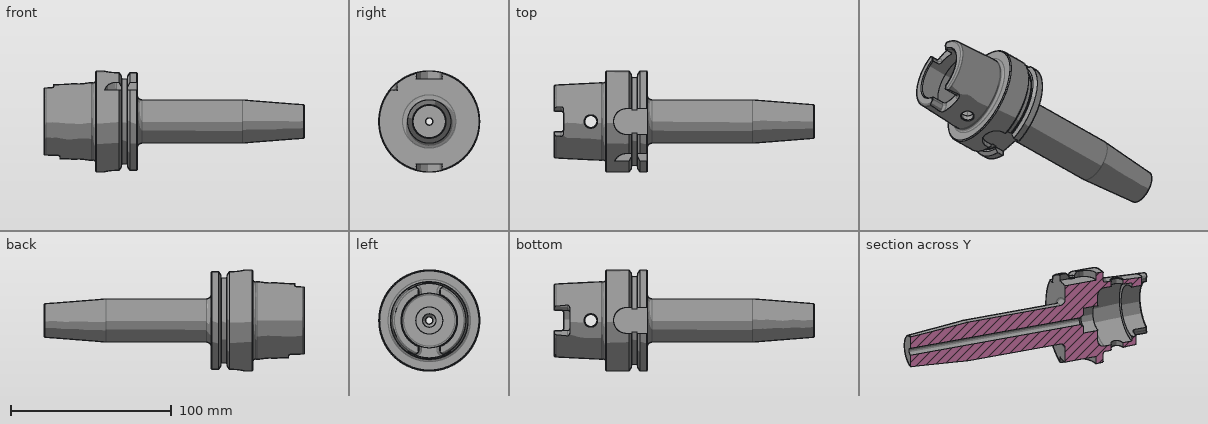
import cadquery as cq
import math


total_length = 162.0
taper_end = 29.6
flange_front = 32.0
flange_back = 58.0
tip_taper_start = 123.6

taper_large_radius = 48.5 / 2
taper_slope = 1 / 20
taper_edge_radius = 1.1
relief_radius = 48.1 / 2
relief_start = 30.5
relief_fillet = flange_front - relief_start

flange_radius = 63.0 / 2
flange_front_chamfer = 0.6
flange_back_chamfer = 0.5
groove_center = 50.0
groove_floor_radius = 27.5
groove_floor_bevel = 0.3
groove_neck_radius = 29.2
groove_floor_width = 3.5
groove_rim_width = 6.8

shank_radius = 27.0 / 2
shank_fillet = 3.0
tip_radius = 10.5
tip_chamfer = 0.5

mouth_radius = 17.7
mouth_chamfer = 0.6
bore_radius = 34 / 2
undercut_start = 13.0
undercut_radius = 40.0 / 2
undercut_end = 35.6
undercut_fillet = 4.0
coolant_bore_radius = 16.8 / 2
coolant_bore_end = 45.4
cone_large_radius = 8.5 / 2
through_radius = 4.4 / 2
cone_depth = cone_large_radius - through_radius

slot_half_width = 6.3
slot_depths = {1: 6.0, -1: 9.9}
slot_flare_radius = 3.2
slot_flare_start = 17.8
slot_floor_fillet = 1.6
slot_mouth_chamfer = 0.57

cross_hole_radius = 7.5 / 2
cross_hole_x = 22.8
cross_hole_chamfer = 0.5

cutter_radius = 16.0 / 2
cutter_center_x = 45.0
keyway_floor = 26.5
notch_floor = 19.6
notch_wall = 20.0

clearance = 8.1

round_mid = 1 - math.sqrt(0.5)


def turn_about_x(profile):
    return profile.revolve(360, (0, 0, 0), (1, 0, 0))


def to_side(shape, side):
    """Keep a +Z shape for side = 1, or turn it round to -Z for side = -1."""
    if side > 0:
        return shape
    return shape.rotate((0, 0, 0), (1, 0, 0), 180)


def turned_body():
    """Solid outside shape: taper, relief, grooved flange, shank and tapered tip."""
    taper_small_radius = taper_large_radius - taper_slope * (taper_end - taper_edge_radius)
    edge_mid = taper_edge_radius * round_mid
    relief_mid = relief_fillet * round_mid
    shank_mid = shank_fillet * round_mid
    half_rim = groove_rim_width / 2
    half_floor = groove_floor_width / 2
    profile = (
        cq.Workplane("XY")
        .lineTo(0, taper_small_radius - taper_edge_radius)
        .threePointArc(
            (edge_mid, taper_small_radius - edge_mid),
            (taper_edge_radius, taper_small_radius),
        )
        .lineTo(taper_end, taper_large_radius)
        .lineTo(relief_start, relief_radius)
        .threePointArc(
            (flange_front - relief_mid, relief_radius + relief_mid),
            (flange_front, relief_radius + relief_fillet),
        )
        .lineTo(flange_front, flange_radius - flange_front_chamfer)
        .lineTo(flange_front + flange_front_chamfer, flange_radius)
        .lineTo(groove_center - half_rim, flange_radius)
        .lineTo(groove_center - half_floor, groove_neck_radius)
        .lineTo(groove_center - half_floor, groove_floor_radius + groove_floor_bevel)
        .lineTo(groove_center - half_floor + groove_floor_bevel, groove_floor_radius)
        .lineTo(groove_center + half_floor - groove_floor_bevel, groove_floor_radius)
        .lineTo(groove_center + half_floor, groove_floor_radius + groove_floor_bevel)
        .lineTo(groove_center + half_floor, groove_neck_radius)
        .lineTo(groove_center + half_rim, flange_radius)
        .lineTo(flange_back - flange_back_chamfer, flange_radius)
        .lineTo(flange_back, flange_radius - flange_back_chamfer)
        .lineTo(flange_back, shank_radius + shank_fillet)
        .threePointArc(
            (flange_back + shank_mid, shank_radius + shank_mid),
            (flange_back + shank_fillet, shank_radius),
        )
        .lineTo(tip_taper_start, shank_radius)
        .lineTo(total_length - tip_chamfer, tip_radius)
        .lineTo(total_length, tip_radius - tip_chamfer)
        .lineTo(total_length, 0)
        .close()
    )
    return turn_about_x(profile)


def bore():
    """Stepped bore: mouth, undercut clamping chamber, coolant bore, cone and through hole."""
    fillet_mid = undercut_fillet * round_mid
    profile = (
        cq.Workplane("XY")
        .lineTo(0, mouth_radius)
        .lineTo(mouth_chamfer, bore_radius)
        .lineTo(undercut_start, bore_radius)
        .lineTo(undercut_start, undercut_radius)
        .lineTo(undercut_end - undercut_fillet, undercut_radius)
        .threePointArc(
            (undercut_end - fillet_mid, undercut_radius - fillet_mid),
            (undercut_end, undercut_radius - undercut_fillet),
        )
        .lineTo(undercut_end, coolant_bore_radius)
        .lineTo(coolant_bore_end, coolant_bore_radius)
        .lineTo(coolant_bore_end, cone_large_radius)
        .lineTo(coolant_bore_end + cone_depth, through_radius)
        .lineTo(total_length, through_radius)
        .lineTo(total_length, 0)
        .close()
    )
    return turn_about_x(profile)


def drive_slot(side):
    """Slot through the +Z (side = 1) or -Z (side = -1) wall, flared outward at the top."""
    flare_mid = slot_flare_radius * round_mid
    flare_top = slot_flare_start + slot_flare_radius
    flare_edge = slot_half_width + slot_flare_radius
    outside_y = flare_edge + clearance
    outside_z = flare_top + clearance
    slot = (
        cq.Workplane("YZ")
        .moveTo(-slot_half_width, 0)
        .lineTo(-slot_half_width, slot_flare_start)
        .threePointArc(
            (-slot_half_width - flare_mid, flare_top - flare_mid),
            (-flare_edge, flare_top),
        )
        .lineTo(-outside_y, flare_top)
        .lineTo(-outside_y, outside_z)
        .lineTo(outside_y, outside_z)
        .lineTo(outside_y, flare_top)
        .lineTo(flare_edge, flare_top)
        .threePointArc(
            (slot_half_width + flare_mid, flare_top - flare_mid),
            (slot_half_width, slot_flare_start),
        )
        .lineTo(slot_half_width, 0)
        .close()
        .extrude(slot_depths[side])
        .faces(">X")
        .edges()
        .fillet(slot_floor_fillet)
    )
    mouth_half_width = slot_half_width + slot_mouth_chamfer
    mouth = (
        cq.Workplane("XY")
        .polyline([
            (0, -mouth_half_width),
            (slot_mouth_chamfer, -slot_half_width),
            (slot_mouth_chamfer, slot_half_width),
            (0, mouth_half_width),
        ])
        .close()
        .extrude(slot_flare_start + flare_mid)
    )
    return to_side(slot.union(mouth), side)


def add_cross_hole(body):
    """Drill the hole along Z through both walls and chamfer its two outer rims."""
    hole = (
        cq.Workplane("XY")
        .center(cross_hole_x, 0)
        .circle(cross_hole_radius)
        .extrude(flange_radius, both=True)
    )
    body = body.cut(hole)
    for side in (1, -1):
        rim = cq.selectors.BoxSelector(
            (cross_hole_x - cross_hole_radius, -cross_hole_radius, side * undercut_radius),
            (cross_hole_x + cross_hole_radius, cross_hole_radius, side * flange_radius),
        )
        body = body.edges(rim).chamfer(cross_hole_chamfer)
    return body


def keyway(side):
    """Round-ended keyway, open toward the shank, on the +Z or -Z side of the flange."""
    pocket = (
        cq.Workplane("XY")
        .workplane(offset=keyway_floor)
        .moveTo(cutter_center_x, cutter_radius)
        .threePointArc((cutter_center_x - cutter_radius, 0), (cutter_center_x, -cutter_radius))
        .lineTo(flange_back, -cutter_radius)
        .lineTo(flange_back, cutter_radius)
        .close()
        .extrude(clearance)
    )
    return to_side(pocket, side)


def orientation_notch():
    """Notch with a right-angled corner in the flange edge between -Y and +Z."""
    outer_y = -notch_wall - cutter_radius
    return (
        cq.Workplane("XY")
        .workplane(offset=notch_floor)
        .moveTo(cutter_center_x, -notch_wall)
        .radiusArc((cutter_center_x - cutter_radius, outer_y), -cutter_radius)
        .lineTo(flange_back, outer_y)
        .lineTo(flange_back, -notch_wall)
        .close()
        .extrude(clearance)
    )


result = add_cross_hole(turned_body().cut(bore())).cut(orientation_notch())
for side in (1, -1):
    result = result.cut(drive_slot(side)).cut(keyway(side))